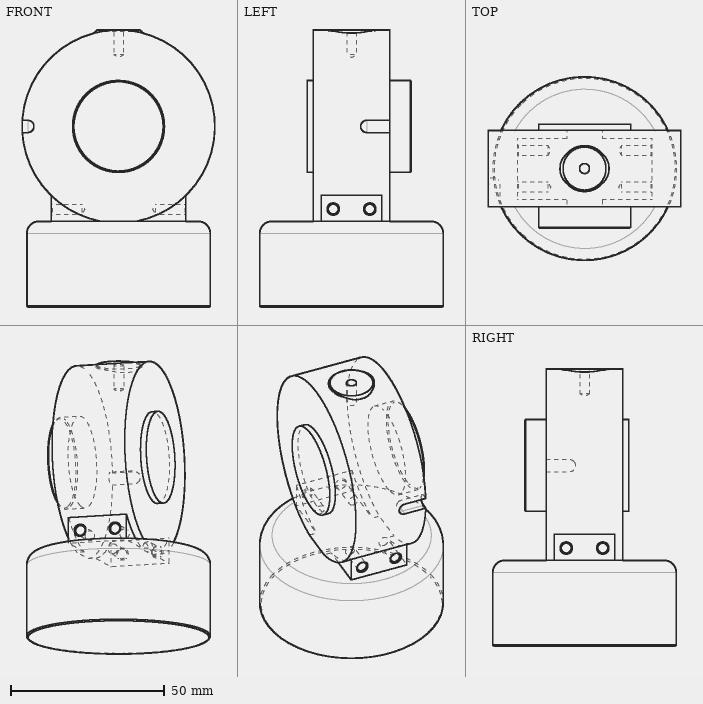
import cadquery as cq
import math

base_diameter = 60.0
base_height = 28.1
base_top_fillet = 4.0
base_bottom_chamfer = 0.45

wheel_diameter = 63.0
wheel_width = 25.0
total_height = 90.5
wheel_radius = wheel_diameter / 2
wheel_center_z = total_height - wheel_radius

hub_diameter = 30.05
hub_front_y = -19.55
hub_back_y = 14.5
hub_chamfer = 0.45

block_length = 44.0
block_width = 19.9
block_top_z = 36.5
block_hole_spacing = 11.95
block_hole_z = 32.0
block_hole_diameter = 3.3
block_hole_depth = 10.0
block_hole_chamfer = 0.4

cap_bore_diameter = 15.0
cap_diameter = 16.0
cap_chamfer = 1.0
cap_depth = 4.5
cap_hole_diameter = 3.3
cap_hole_depth = 8.0

slot_width = 4.0
slot_depth = 3.9
slot_end_y = -3.0

drill_tip_angle = 118.0


def y_cylinder(diameter, y_start, y_end):
    """Cylinder along Y, centred on the wheel axis."""
    plane = cq.Plane(origin=(0, y_start, wheel_center_z), xDir=(1, 0, 0), normal=(0, 1, 0))
    return cq.Workplane(plane).circle(diameter / 2).extrude(y_end - y_start)


def drill(diameter, depth, position, direction, mouth_chamfer=0.0):
    """Drilled-hole cutter with a conical tip below its full-diameter depth."""
    radius = diameter / 2
    tip_depth = depth + radius / math.tan(math.radians(drill_tip_angle / 2))
    profile = cq.Workplane("XZ").lineTo(radius + mouth_chamfer, 0)
    if mouth_chamfer > 0:
        profile = profile.lineTo(radius, mouth_chamfer)
    profile = profile.lineTo(radius, depth).lineTo(0, tip_depth).close()
    cutter = profile.revolve(360, (0, 0, 0), (0, 1, 0)).val()
    return cutter.moved(cq.Plane(origin=position, normal=direction).location)


def make_base():
    base = cq.Workplane("XY").circle(base_diameter / 2).extrude(base_height)
    return base.faces(">Z").edges().fillet(base_top_fillet).faces("<Z").edges().chamfer(base_bottom_chamfer)


def make_block():
    return cq.Workplane("XY").box(block_length, block_width, block_top_z, centered=(True, True, False))


def make_hub():
    return y_cylinder(hub_diameter, hub_front_y, hub_back_y).faces("<Y").edges().chamfer(hub_chamfer)


def make_cap():
    cap = cq.Workplane("XY").workplane(offset=total_height).circle(cap_diameter / 2).extrude(-cap_depth)
    return cap.faces(">Z").edges().chamfer(cap_chamfer)


def make_slot():
    """Path of a ball-nosed cutter entering from -X and leaving through the front face."""
    radius = slot_width / 2
    ball_x = -wheel_radius + slot_depth - radius
    ball_y = slot_end_y - radius
    length = wheel_width / 2 + ball_y
    ball_center = (ball_x, ball_y, wheel_center_z)
    ball = cq.Workplane("XY").sphere(radius).translate(ball_center)
    rounded_floor = y_cylinder(slot_width, -wheel_width / 2, ball_y).translate((ball_x, 0, 0))
    entry_plane = cq.Plane(origin=ball_center, normal=(-1, 0, 0))
    entry = cq.Workplane(entry_plane).circle(radius).extrude(slot_depth)
    walls = cq.Workplane("XY").box(slot_depth, length, slot_width, centered=(False, False, True))
    walls = walls.translate((ball_x - slot_depth, -wheel_width / 2, wheel_center_z))
    return ball.union(rounded_floor).union(entry).union(walls)


wheel = y_cylinder(wheel_diameter, -wheel_width / 2, wheel_width / 2)
cap_bore = cq.Workplane("XY").workplane(offset=total_height).circle(cap_bore_diameter / 2).extrude(-cap_depth)
result = make_base().union(make_block()).union(wheel.cut(make_slot()).cut(cap_bore))
result = result.union(make_hub()).union(make_cap())

result = result.cut(drill(cap_hole_diameter, cap_hole_depth, (0, 0, total_height), (0, 0, -1)))
for side in (-1, 1):
    for hole_y in (-block_hole_spacing / 2, block_hole_spacing / 2):
        mouth = (side * block_length / 2, hole_y, block_hole_z)
        result = result.cut(
            drill(block_hole_diameter, block_hole_depth, mouth, (-side, 0, 0), block_hole_chamfer)
        )